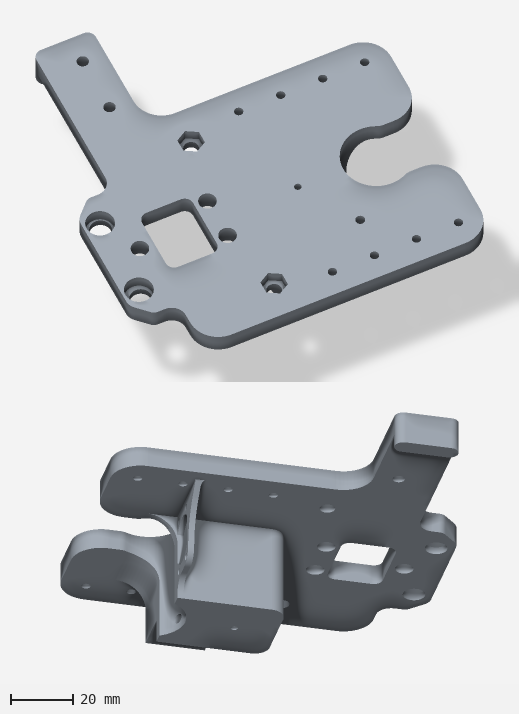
import math
import cadquery as cq

PLATE_T = 7.0
PLATE_DEPTH = 118.62
TOTAL_H = 37.2
TOTAL_W = 127.68
BODY_HALF_W = 43.3
BODY_FRONT_Y = 15.0
BODY_R = 10.0
EPS = 0.1

TAB_HALF_W = 25.0
TAB_BEVEL = 6.2
TAB_ROOT_R = 5.0
BEVEL_SIDE_R = 3.0
BEVEL_FRONT_R = 5.0

ARM_END_X = BODY_HALF_W - TOTAL_W
ARM_BACK_Y = 36.2
ARM_END_R = 3.0
LIP_H = 4.2
ARM_HOLE_D = 4.0
ARM_HOLE_X = (-74.5, -54.5)
ARM_HOLE_Y = 28.2

SLOT_HALF_W = 10.1
SLOT_EYE_R = 11.8
SLOT_EYE_Y = 97.4
SLOT_NECK_R = 5.0

RAIL_HOLE_D = 3.0
RAIL_HOLE_X = 35.0
RAIL_FIRST_Y = 65.0
RAIL_PITCH = 15.0
RAIL_COUNT = 4
PIN_HOLE_D = 2.4
PIN_HOLE_Y = 69.4
SIDE_HOLE_D = 3.2
SIDE_HOLE_POS = (20.4, 81.9)
NUT_X = 31.0
NUT_Y = 46.1
NUT_FLATS = 7.7
NUT_DEPTH = 4.0
NUT_HOLE_D = 5.1
WINDOW_HALF_W = 11.8
WINDOW_Y = (18.0, 36.2)
WINDOW_R = 3.0
ROUND_HOLE_D = 6.0
ROUND_HOLES = [(-7.5, 40.7), (7.5, 40.7), (0.0, 13.0)]
BOLT_D = 7.3
BOLT_X = 15.0
BOLT_Y = 6.1
BOLT_HEAD_D = 9.6
BOLT_HEAD_X = 14.5
BOLT_HEAD_Y = 5.7
BOLT_HEAD_DEPTH = 4.5

BLOCK_HALF_W = 14.2
BLOCK_Y = (55.4, 91.7)
BLOCK_BOTTOM = PLATE_T - TOTAL_H
BLOCK_FRONT_R = 5.0
BLOCK_HOLE_D = 3.2
BLOCK_HOLE_PITCH = 10.0
BLOCK_HOLE_Z = -21.2

FLANGE_T = 2.0
FLANGE_SIDE_X = -28.7
FLANGE_BOTTOM = -23.8
FLANGE_SIDE_R = 20.0
FLANGE_FLARE_X = -38.9
FLANGE_CORNER_R = 5.0
FLANGE_TOE_R = 5.0
FLANGE_ROOT_R = 1.5
OPENING_X = -20.7
OPENING_Z = -12.1
OPENING_R = 8.2
OPENING_HALF_W = 6.2
SWITCH_HOLE_D = 2.2
SWITCH_PITCH_X = 9.5
SWITCH_PITCH_Z = 18.6

LUG_X = 29.0
LUG_BOTTOM = -22.2
LUG_ROOT_R = 10.0
BACK_ROOT_R = 10.0
LUG_Y = (2 * SIDE_HOLE_POS[1] - BLOCK_Y[1], BLOCK_Y[1])


def rounded_outline(plane, corners):
    """Closed outline through (u, v, radius) corners; a radius of 0 keeps the corner sharp."""
    spans = []
    for i, (u, v, radius) in enumerate(corners):
        corner = cq.Vector(u, v, 0)
        before = cq.Vector(*corners[i - 1][:2], 0)
        after = cq.Vector(*corners[(i + 1) % len(corners)][:2], 0)
        to_before = (before - corner).normalized()
        to_after = (after - corner).normalized()
        half_angle = to_before.getAngle(to_after) / 2
        reach = radius / math.tan(half_angle)
        inward = (to_before + to_after).normalized()
        middle = corner + inward * (radius / math.sin(half_angle) - radius)
        spans.append((corner + to_before * reach, middle, corner + to_after * reach, radius))

    wire = cq.Workplane(plane).moveTo(*spans[0][2].toTuple()[:2])
    for start, middle, end, radius in spans[1:] + spans[:1]:
        wire = wire.lineTo(*start.toTuple()[:2])
        if radius:
            wire = wire.threePointArc(middle.toTuple()[:2], end.toTuple()[:2])
    return wire.close()


def box(x_range, y_range, z_range):
    """Box between the given limits."""
    size = [high - low for low, high in (x_range, y_range, z_range)]
    return cq.Workplane("XY").box(*size, centered=False).translate((x_range[0], y_range[0], z_range[0]))


def vertical_holes(points, diameter, bottom=-EPS):
    """Round cutters running up from `bottom` to just above the plate."""
    height = PLATE_T + EPS - bottom
    return cq.Workplane("XY", origin=(0, 0, bottom)).pushPoints(points).circle(diameter / 2).extrude(height)


def mirrored(x, y):
    """The point and its mirror image across X = 0."""
    return [(-x, y), (x, y)]


def make_plate():
    corners = [
        (-BODY_HALF_W, PLATE_DEPTH, BODY_R),
        (-BODY_HALF_W, ARM_BACK_Y, BODY_R),
        (ARM_END_X, ARM_BACK_Y, ARM_END_R),
        (ARM_END_X, BODY_FRONT_Y, ARM_END_R),
        (-TAB_HALF_W, BODY_FRONT_Y, TAB_ROOT_R),
        (-TAB_HALF_W, TAB_BEVEL, BEVEL_SIDE_R),
        (TAB_BEVEL - TAB_HALF_W, 0, BEVEL_FRONT_R),
        (TAB_HALF_W - TAB_BEVEL, 0, BEVEL_FRONT_R),
        (TAB_HALF_W, TAB_BEVEL, BEVEL_SIDE_R),
        (TAB_HALF_W, BODY_FRONT_Y, TAB_ROOT_R),
        (BODY_HALF_W, BODY_FRONT_Y, BODY_R),
        (BODY_HALF_W, PLATE_DEPTH, BODY_R),
    ]
    return rounded_outline("XY", corners).extrude(PLATE_T)


def cut_keyhole_slot(plate):
    neck = box((-SLOT_HALF_W, SLOT_HALF_W), (SLOT_EYE_Y, PLATE_DEPTH + EPS), (0, PLATE_T))
    plate = plate.cut(neck).cut(make_slot_eye(0))

    meet_y = SLOT_EYE_Y + math.sqrt(SLOT_EYE_R**2 - SLOT_HALF_W**2)
    for y, radius in ((meet_y, SLOT_NECK_R), (PLATE_DEPTH, BODY_R)):
        for x in (-SLOT_HALF_W, SLOT_HALF_W):
            edge = cq.selectors.NearestToPointSelector((x, y, PLATE_T / 2))
            plate = plate.edges("|Z").edges(edge).fillet(radius)
    return plate


def make_slot_eye(bottom):
    """Cutter for the round end of the slot, from `bottom` to the top of the plate."""
    eye = cq.Workplane("XY", origin=(0, SLOT_EYE_Y, bottom))
    return eye.circle(SLOT_EYE_R).extrude(PLATE_T - bottom)


def make_lip():
    width = 2 * ARM_END_R
    middle = (ARM_END_X + ARM_END_R, (BODY_FRONT_Y + ARM_BACK_Y) / 2)
    lip = cq.Workplane("XY").center(*middle).slot2D(ARM_BACK_Y - BODY_FRONT_Y, width, 90)
    return lip.extrude(-LIP_H)


def make_block():
    """Block with rounded front edges, hollowed at the back by the slot's round end."""
    block = box((-BLOCK_HALF_W, BLOCK_HALF_W), BLOCK_Y, (BLOCK_BOTTOM, EPS))
    block = block.edges("|Z and <Y").fillet(BLOCK_FRONT_R)
    return block.cut(make_slot_eye(BLOCK_BOTTOM))


def make_root_fillet(x_range, wall_y, direction, radius):
    """Concave fillet under the plate against the wall at wall_y, spreading along +Y or -Y."""
    toe_y = wall_y + direction * radius
    back_y = wall_y - direction * EPS
    middle_y = toe_y - direction * radius * math.sqrt(0.5)
    middle_z = radius * (math.sqrt(0.5) - 1)
    profile = (
        cq.Workplane("YZ", origin=(x_range[0], 0, 0))
        .moveTo(toe_y, 0)
        .threePointArc((middle_y, middle_z), (wall_y, -radius))
        .lineTo(back_y, -radius)
        .lineTo(back_y, EPS)
        .lineTo(toe_y, EPS)
        .close()
    )
    return profile.extrude(x_range[1] - x_range[0])


def make_switch_flange():
    flange_y = BLOCK_Y[1] - FLANGE_T
    block_side = -BLOCK_HALF_W
    corners = [
        (FLANGE_FLARE_X, 0, 0),
        (FLANGE_SIDE_X, FLANGE_FLARE_X - FLANGE_SIDE_X, FLANGE_SIDE_R),
        (FLANGE_SIDE_X, FLANGE_BOTTOM, FLANGE_CORNER_R),
        (block_side, FLANGE_BOTTOM, FLANGE_TOE_R),
        (block_side, BLOCK_BOTTOM, 0),
        (block_side + EPS, BLOCK_BOTTOM, 0),
        (block_side + EPS, 0, 0),
    ]
    wall_plane = cq.Plane(origin=(0, BLOCK_Y[1], 0), xDir=(1, 0, 0), normal=(0, -1, 0))
    cut_depth = FLANGE_T + FLANGE_ROOT_R
    silhouette = rounded_outline(wall_plane, corners).extrude(cut_depth)
    x_range = (FLANGE_FLARE_X, block_side + EPS)
    wall = box(x_range, (flange_y, BLOCK_Y[1]), (BLOCK_BOTTOM, 0))
    root = make_root_fillet(x_range, flange_y, -1, FLANGE_ROOT_R)
    flange = wall.union(root).intersect(silhouette)

    center = cq.Workplane(wall_plane).center(OPENING_X, OPENING_Z)
    opening = center.circle(OPENING_R).extrude(cut_depth)
    opening = opening.intersect(center.rect(2 * OPENING_HALF_W, 2 * OPENING_R).extrude(cut_depth))
    screws = (
        center.rect(SWITCH_PITCH_X, SWITCH_PITCH_Z, forConstruction=True)
        .vertices()
        .circle(SWITCH_HOLE_D / 2)
        .extrude(cut_depth)
    )
    return flange.cut(opening).cut(screws)


def make_lug():
    x_range = (BLOCK_HALF_W - EPS, LUG_X)
    lug = box(x_range, LUG_Y, (LUG_BOTTOM, EPS))
    front_root = make_root_fillet(x_range, LUG_Y[0], -1, LUG_ROOT_R)
    return lug.union(front_root)


def make_back_fillet():
    """Fillet along the backs of block and lug, interrupted by the slot's round end."""
    fillet = make_root_fillet((-BLOCK_HALF_W, LUG_X), BLOCK_Y[1], 1, BACK_ROOT_R)
    return fillet.cut(make_slot_eye(BLOCK_BOTTOM))


def cut_plate_holes(part):
    rail_holes = [
        point
        for i in range(RAIL_COUNT)
        for point in mirrored(RAIL_HOLE_X, RAIL_FIRST_Y + i * RAIL_PITCH)
    ]
    arm_holes = [(x, ARM_HOLE_Y) for x in ARM_HOLE_X]
    below_block = BLOCK_BOTTOM - EPS
    part = part.cut(vertical_holes(rail_holes, RAIL_HOLE_D))
    part = part.cut(vertical_holes(arm_holes, ARM_HOLE_D))
    part = part.cut(vertical_holes(ROUND_HOLES, ROUND_HOLE_D))
    part = part.cut(vertical_holes([(0, PIN_HOLE_Y)], PIN_HOLE_D, below_block))
    part = part.cut(vertical_holes([SIDE_HOLE_POS], SIDE_HOLE_D, below_block))

    window = box((-WINDOW_HALF_W, WINDOW_HALF_W), WINDOW_Y, (0, PLATE_T))
    return part.cut(window.edges("|Z").fillet(WINDOW_R))


def cut_nut_seats(part):
    """Through holes with hexagonal nut pockets sunk from the top."""
    points = mirrored(NUT_X, NUT_Y)
    across_corners = NUT_FLATS / math.cos(math.pi / 6)
    pocket_floor = cq.Workplane("XY", origin=(0, 0, PLATE_T - NUT_DEPTH))
    pockets = pocket_floor.pushPoints(points).polygon(6, across_corners).extrude(NUT_DEPTH + EPS)
    return part.cut(vertical_holes(points, NUT_HOLE_D)).cut(pockets)


def cut_bolt_seats(part):
    """Through holes in the tab with counterbores set slightly off their axes."""
    shanks = vertical_holes(mirrored(BOLT_X, BOLT_Y), BOLT_D)
    heads = vertical_holes(mirrored(BOLT_HEAD_X, BOLT_HEAD_Y), BOLT_HEAD_D, PLATE_T - BOLT_HEAD_DEPTH)
    return part.cut(shanks).cut(heads)


def cut_block_holes(part):
    """Four holes running through the block from front to back."""
    front = cq.Plane(origin=(0, BLOCK_Y[0] - EPS, BLOCK_HOLE_Z), xDir=(1, 0, 0), normal=(0, -1, 0))
    holes = (
        cq.Workplane(front)
        .rect(BLOCK_HOLE_PITCH, BLOCK_HOLE_PITCH, forConstruction=True)
        .vertices()
        .circle(BLOCK_HOLE_D / 2)
        .extrude(-(BLOCK_Y[1] - BLOCK_Y[0] + 2 * EPS))
    )
    return part.cut(holes)


plate = cut_keyhole_slot(make_plate())
result = plate.union(make_lip()).union(make_block())
result = result.union(make_switch_flange()).union(make_lug())
result = result.union(make_back_fillet())
result = cut_plate_holes(result)
result = cut_nut_seats(result)
result = cut_bolt_seats(result)
result = cut_block_holes(result).solids()